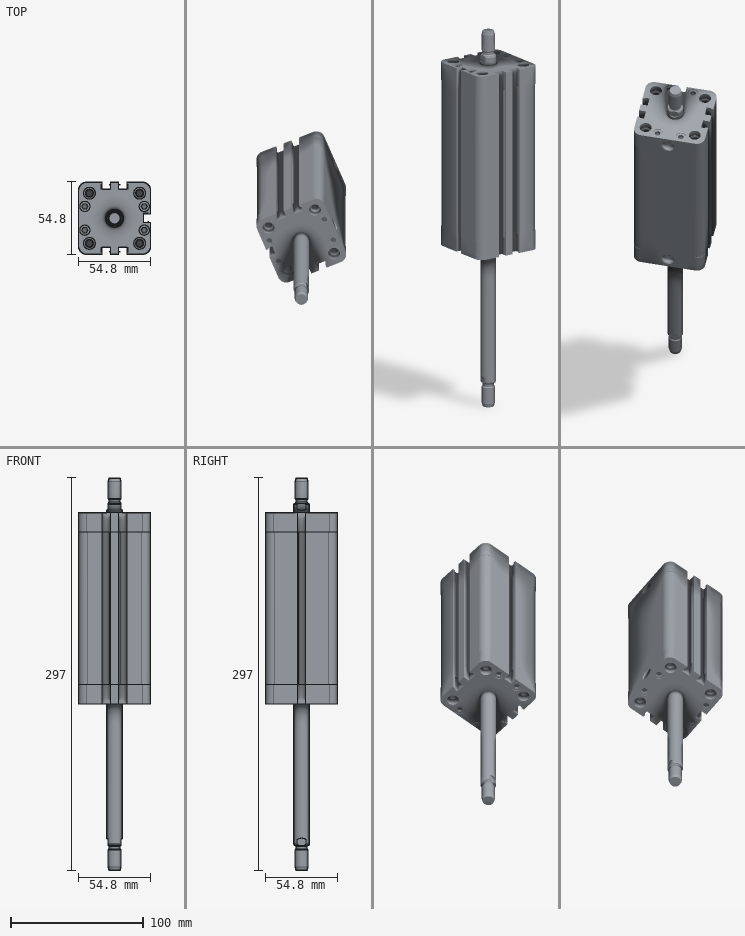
import cadquery as cq

body_width = 54.8
body_length = 145.0
half_width = body_width / 2
cap_length = 14.6
cap_corner_radius = 6.3
barrel_corner_radius = 7.0
barrel_length = body_length - 2 * cap_length

slot_width = 6.3
slot_depth = 5.3
slot_offset = 6.25
slot_overcut = 1.0
ridge_depth = 1.7
ridge_thickness = 0.5
ridge_height = 0.9
undercut_depth = 2.0
undercut_width = 0.9

mount_pitch = 38.0
mount_hole_diameter = 5.2
mount_countersink_diameter = 6.0
mount_counterbore_diameter = 9.0
mount_counterbore_depth = 5.0

screw_pitch_x = 45.0
screw_pitch_y = 18.0
screw_recess_diameter = 7.7
screw_recess_depth = 0.5
socket_across_flats = 4.0
socket_depth = 2.5

port_diameter = 8.57
port_mouth_diameter = 10.0
port_floor_diameter = 40.0
port_from_cap_face = 7.9

rod_diameter = 12.0
rod_radius = rod_diameter / 2
rod_recess_diameter = 13.7
rod_recess_depth = 1.0
upper_protrusion = 26.0
stroke = 100.0
lower_protrusion = upper_protrusion + stroke

thread_diameter = 10.0
thread_tip_diameter = 8.57
thread_tip_length = 2.7
thread_end = 15.5
relief_diameter = 8.57
relief_taper = 0.8
shoulder_start = 19.0
shoulder_chamfer_length = 1.0
shoulder_chamfer_height = 0.5

flats_across = 10.0
flat_end = 24.4


def rounded_block(corner_radius, length):
    block = cq.Workplane("XY").rect(body_width, body_width).extrude(length)
    return block.edges("|Z").fillet(corner_radius)


def barrel_slot(length):
    """Cutter for a slot on the +X face with a thin ridge on its -Y wall."""
    floor = half_width - slot_depth
    mouth = half_width + slot_overcut
    wall = slot_width / 2
    ridge_outer = half_width - ridge_depth
    ridge_inner = ridge_outer - ridge_thickness
    outline = [
        (floor, wall),
        (mouth, wall),
        (mouth, -wall),
        (ridge_outer, -wall),
        (ridge_outer, ridge_height - wall),
        (ridge_inner, ridge_height - wall),
        (ridge_inner, -wall),
        (floor, -wall),
    ]
    return cq.Workplane("XY").polyline(outline).close().extrude(length)


def cap_slot(length):
    """Cutter for a slot on the +X face, undercut on its +Y side."""
    floor = half_width - slot_depth
    mouth = half_width + slot_overcut
    undercut = half_width - undercut_depth
    wall = slot_width / 2
    outline = [
        (floor, -wall),
        (mouth, -wall),
        (mouth, wall),
        (undercut, wall),
        (undercut, wall + undercut_width),
        (floor, wall + undercut_width),
    ]
    return cq.Workplane("XY").polyline(outline).close().extrude(length)


def cut_slots(block, slot):
    """Cut the slot on +X, and a mirrored pair of it on each Y face."""
    block = block.cut(slot)
    outward_slot = slot.translate((0, slot_offset, 0))
    for face_angle in (90, -90):
        turned = outward_slot.rotate((0, 0, 0), (0, 0, 1), face_angle)
        block = block.cut(turned).cut(turned.mirror("YZ"))
    return block


def make_barrel():
    barrel = rounded_block(barrel_corner_radius, barrel_length)
    barrel = cut_slots(barrel, barrel_slot(barrel_length))
    rod_bore = cq.Workplane("XY").circle(rod_radius).extrude(barrel_length)
    return barrel.cut(rod_bore).translate((0, 0, cap_length))


def port_cutter():
    """Threaded-port hole along X with a chamfered mouth and a cylindrical floor."""
    chamfer = (port_mouth_diameter - port_diameter) / 2
    mouth = (
        cq.Workplane("YZ", origin=(-half_width, 0, 0))
        .circle(port_mouth_diameter / 2)
        .workplane(offset=chamfer)
        .circle(port_diameter / 2)
        .loft()
    )
    hole = cq.Workplane("YZ", origin=(-half_width, 0, 0)).circle(port_diameter / 2).extrude(half_width)
    core = cq.Workplane("XY").circle(port_floor_diameter / 2).extrude(cap_length, both=True)
    return mouth.union(hole.cut(core)).translate((0, 0, cap_length - port_from_cap_face))


def make_cap():
    """End cap standing on Z = 0 with its outer face up."""
    cap = cut_slots(rounded_block(cap_corner_radius, cap_length), cap_slot(cap_length))

    cap = cap.faces(">Z").workplane(origin=(0, 0, 0)).cboreHole(
        rod_diameter, rod_recess_diameter, rod_recess_depth
    )

    counterbore_floor = cap_length - mount_counterbore_depth
    countersink_depth = (mount_countersink_diameter - mount_hole_diameter) / 2
    mount_profile = [
        (0, 0),
        (mount_hole_diameter / 2, 0),
        (mount_hole_diameter / 2, counterbore_floor - countersink_depth),
        (mount_countersink_diameter / 2, counterbore_floor),
        (mount_counterbore_diameter / 2, counterbore_floor),
        (mount_counterbore_diameter / 2, cap_length),
        (0, cap_length),
    ]
    mount_hole = cq.Workplane("XZ").polyline(mount_profile).close().revolve(360, (0, 0), (0, 1))

    top = cq.Workplane("XY", origin=(0, 0, cap_length))
    socket = top.polygon(6, socket_across_flats, circumscribed=True).extrude(-socket_depth)
    socket = socket.rotate((0, 0, 0), (0, 0, 1), 90)
    screw_recess = top.circle(screw_recess_diameter / 2).extrude(-screw_recess_depth).union(socket)

    for side_x in (-1, 1):
        for side_y in (-1, 1):
            mount_place = (side_x * mount_pitch / 2, side_y * mount_pitch / 2, 0)
            screw_place = (side_x * screw_pitch_x / 2, side_y * screw_pitch_y / 2, 0)
            cap = cap.cut(mount_hole.translate(mount_place))
            cap = cap.cut(screw_recess.translate(screw_place))

    return cap.cut(port_cutter())


def flat_cutter():
    """Cutter for both wrench flats of a rod end whose tip is at Z = 0, rod upward."""
    arc_start = flat_end - rod_radius
    outline = (
        cq.Workplane("YZ", origin=(flats_across / 2, 0, 0))
        .moveTo(-rod_radius, arc_start)
        .threePointArc((0, flat_end), (rod_radius, arc_start))
        .lineTo(rod_radius, thread_end)
        .lineTo(-rod_radius, thread_end)
        .close()
    )
    one_side = outline.extrude(rod_radius)
    return one_side.union(one_side.mirror("YZ"))


def make_rod():
    """Through rod with a thread, relief groove and wrench flats at each end."""
    end_profile = [
        (0, 0),
        (thread_tip_diameter / 2, 0),
        (thread_diameter / 2, thread_tip_length),
        (thread_diameter / 2, thread_end),
        (relief_diameter / 2, thread_end + relief_taper),
        (relief_diameter / 2, shoulder_start - relief_taper),
        (thread_diameter / 2, shoulder_start),
        (rod_radius - shoulder_chamfer_height, shoulder_start),
        (rod_radius, shoulder_start + shoulder_chamfer_length),
    ]
    rod_length = lower_protrusion + body_length + upper_protrusion
    upper_profile = [(radius, rod_length - height) for radius, height in reversed(end_profile)]
    profile = cq.Workplane("XZ").polyline(end_profile + upper_profile).close()
    rod = profile.revolve(360, (0, 0), (0, 1))

    lower_flats = flat_cutter()
    upper_flats = lower_flats.mirror("XY").translate((0, 0, rod_length))
    rod = rod.cut(lower_flats).cut(upper_flats)
    return rod.translate((0, 0, -lower_protrusion))


barrel = make_barrel()
cap = make_cap()
top_cap = cap.translate((0, 0, body_length - cap_length))
bottom_cap = cap.mirror("XY").translate((0, 0, cap_length))
rod = make_rod()

result = cq.Compound.makeCompound([barrel.val(), top_cap.val(), bottom_cap.val(), rod.val()])